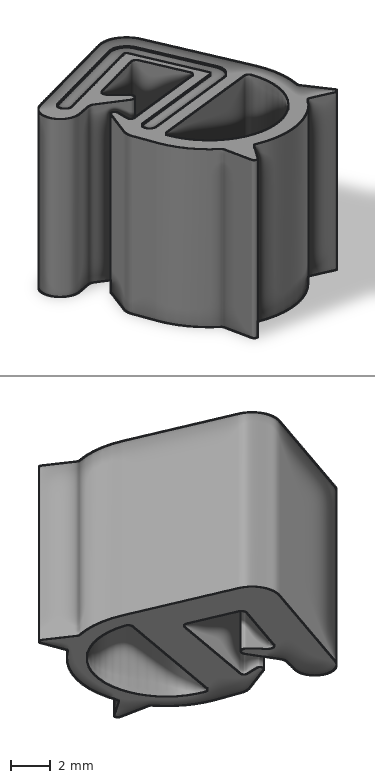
import cadquery as cq
import math


LENGTH = 10.0
HEIGHT = 10.0
WIDTH = 13.0
TAPER = 3.9

BULB_RADIUS = HEIGHT / 2
BULB_WALL = 1.0
BULB_X = WIDTH - BULB_RADIUS
BULB_Y = HEIGHT / 2
CAVITY_CORNER_RADIUS = 0.26

CLIP_AXIS_X = 4.0
SHOULDER_RADIUS = 1.5
LEG_END_RADIUS = 1.1
MOUTH_TOP_Y = 7.81
MOUTH_CORNER_RADIUS = 0.29
HEEL_RADIUS = 1.0

LEFT_LIP_TIP = (4.05, 3.9)
LEFT_LIP_TIP_RADIUS = 0.29
LEFT_LIP_UPPER_ANGLE = 28.2
LEFT_LIP_LOWER_ANGLE = 43.7
LEFT_LIP_UPPER_ROOT_RADIUS = 0.31
LEFT_LIP_LOWER_ROOT_RADIUS = 0.45
RIGHT_LIP_TIP = (4.26, 1.92)
RIGHT_LIP_TIP_RADIUS = 0.21
RIGHT_LIP_UPPER_ANGLE = 154.7
RIGHT_LIP_LOWER_ANGLE = 136.6
RIGHT_LIP_ROOT_RADIUS = 0.2

GROOVE_DEPTH = 0.08
GROOVE_WIDTH = 0.78
GROOVE_TOP_Y = 9.05
GROOVE_END_Y = 1.61
GROOVE_HALF_SPACING = 2.4
GROOVE_INNER_RADIUS = 0.17
LEG_TO_MOUTH = 1.08
LEG_TO_CAVITY = 1.16

BARB_TIP_RADIUS = 0.18
BARB_TIP = (WIDTH - BARB_TIP_RADIUS, 9.31)
BARB_UPPER_ANGLE = 12.7
BARB_LOWER_ANGLE = 55.0
BARB_UPPER_LENGTH = 2.86
BARB_LOWER_LENGTH = 2.47
BARB_ROOT_RADIUS = 0.2


def polar(start, angle, distance):
    """Point at a distance from start, along an angle in degrees."""
    a = math.radians(angle)
    return (start[0] + distance * math.cos(a), start[1] + distance * math.sin(a))


def crossing(p, p_angle, q, q_angle):
    """Crossing of two lines, each given by a point and an angle."""
    a, b = math.radians(p_angle), math.radians(q_angle)
    dx, dy = q[0] - p[0], q[1] - p[1]
    distance = (dx * math.sin(b) - dy * math.cos(b)) / math.sin(b - a)
    return polar(p, p_angle, distance)


def sharp_tip(centre, radius, angle_1, angle_2):
    """Corner of two flanks that a tip circle rounds off."""
    half_angle = math.radians(abs(angle_1 - angle_2) / 2)
    return polar(centre, (angle_1 + angle_2) / 2, radius / math.sin(half_angle))


def rounded_prism(corners, base_z, height):
    """Prism on a polygon of (point, corner radius) pairs."""
    tangents = []
    for i, (corner, radius) in enumerate(corners):
        before = cq.Vector(*corners[i - 1][0]) - cq.Vector(*corner)
        after = cq.Vector(*corners[(i + 1) % len(corners)][0]) - cq.Vector(*corner)
        half_angle = before.getAngle(after) / 2
        reach = radius / math.tan(half_angle)
        bisector = (before.normalized() + after.normalized()).normalized()
        middle = cq.Vector(*corner) + bisector * (radius / math.sin(half_angle) - radius)
        entry = cq.Vector(*corner) + before.normalized() * reach
        leave = cq.Vector(*corner) + after.normalized() * reach
        tangents.append((radius, entry, middle, leave))

    edges = []
    previous_leave = tangents[-1][3]
    for radius, entry, middle, leave in tangents:
        if (entry - previous_leave).Length > 1.3e-05:
            edges.append(cq.Edge.makeLine(previous_leave, entry))
        if radius > 0:
            edges.append(cq.Edge.makeThreePointArc(entry, middle, leave))
        previous_leave = leave
    wire = cq.Wire.assembleEdges(edges)
    solid = cq.Solid.extrudeLinear(wire, [], cq.Vector(0, 0, height))
    return cq.Workplane(obj=solid.translate(cq.Vector(0, 0, base_z)))


LEFT_ANGLE = 90 + TAPER
RIGHT_ANGLE = 90 - TAPER
LEFT_LEG = (CLIP_AXIS_X - GROOVE_HALF_SPACING, GROOVE_END_Y)
RIGHT_LEG = (CLIP_AXIS_X + GROOVE_HALF_SPACING, GROOVE_END_Y)


def clip():
    left_mouth = polar(LEFT_LEG, TAPER, LEG_TO_MOUTH)
    right_mouth = polar(RIGHT_LEG, 180 - TAPER, LEG_TO_MOUTH)

    wall = polar((SHOULDER_RADIUS, HEIGHT - SHOULDER_RADIUS), 180 + TAPER, SHOULDER_RADIUS)
    shoulder = crossing(wall, LEFT_ANGLE, (0, HEIGHT), 0)
    leg_corner = crossing(wall, LEFT_ANGLE, (0, 0), 0)
    leg_centre_x = leg_corner[0] + LEG_END_RADIUS / math.tan(math.radians(LEFT_ANGLE / 2))
    leg_side_x = leg_centre_x + LEG_END_RADIUS

    left_tip = sharp_tip(LEFT_LIP_TIP, LEFT_LIP_TIP_RADIUS, LEFT_LIP_UPPER_ANGLE, LEFT_LIP_LOWER_ANGLE)
    right_tip = sharp_tip(RIGHT_LIP_TIP, RIGHT_LIP_TIP_RADIUS, RIGHT_LIP_UPPER_ANGLE, RIGHT_LIP_LOWER_ANGLE)

    bulb_tangent = polar((BULB_X, BULB_Y), 270 - TAPER, BULB_RADIUS)
    heel = crossing(right_tip, RIGHT_LIP_LOWER_ANGLE, bulb_tangent, -TAPER)

    corners = [
        ((BULB_X, HEIGHT), 0),
        (shoulder, SHOULDER_RADIUS),
        (leg_corner, LEG_END_RADIUS),
        ((leg_side_x, 0), LEG_END_RADIUS),
        (crossing((leg_side_x, 0), 90, left_tip, LEFT_LIP_LOWER_ANGLE), LEFT_LIP_LOWER_ROOT_RADIUS),
        (left_tip, LEFT_LIP_TIP_RADIUS),
        (crossing(left_mouth, LEFT_ANGLE, left_tip, LEFT_LIP_UPPER_ANGLE), LEFT_LIP_UPPER_ROOT_RADIUS),
        (crossing(left_mouth, LEFT_ANGLE, (0, MOUTH_TOP_Y), 0), MOUTH_CORNER_RADIUS),
        (crossing(right_mouth, RIGHT_ANGLE, (0, MOUTH_TOP_Y), 0), MOUTH_CORNER_RADIUS),
        (crossing(right_mouth, RIGHT_ANGLE, right_tip, RIGHT_LIP_UPPER_ANGLE), RIGHT_LIP_ROOT_RADIUS),
        (right_tip, RIGHT_LIP_TIP_RADIUS),
        (heel, HEEL_RADIUS),
        (bulb_tangent, 0),
        ((BULB_X, BULB_Y), 0),
    ]
    return rounded_prism(corners, 0, LENGTH)


def bulb():
    """Round bulb, cut off on its left where the underside of the clip meets it."""
    disc = cq.Workplane().center(BULB_X, BULB_Y).circle(BULB_RADIUS).extrude(LENGTH)
    left_x = BULB_X - BULB_RADIUS * math.sin(math.radians(TAPER))
    keep_box = cq.Workplane().box(WIDTH - left_x, HEIGHT, LENGTH, centered=False)
    return disc.intersect(keep_box.translate((left_x, 0, 0)))


def barb():
    tip = sharp_tip(BARB_TIP, BARB_TIP_RADIUS, BARB_UPPER_ANGLE, BARB_LOWER_ANGLE)
    upper_end = polar(tip, 180 + BARB_UPPER_ANGLE, BARB_UPPER_LENGTH)
    lower_end = polar(tip, 180 + BARB_LOWER_ANGLE, BARB_LOWER_LENGTH)
    return rounded_prism([(tip, BARB_TIP_RADIUS), (upper_end, 0), (lower_end, 0)], 0, LENGTH)


def bulb_with_barbs():
    upper_barb = barb()
    lower_barb = upper_barb.mirror("XZ", (0, BULB_Y, 0))
    body = bulb().union(upper_barb).union(lower_barb)

    def is_root(edge):
        centre = edge.Center()
        radius = math.hypot(centre.x - BULB_X, centre.y - BULB_Y)
        on_surface = abs(radius - BULB_RADIUS) < 0.001
        off_seam = abs(centre.y - BULB_Y) > BULB_RADIUS / 4
        return on_surface and off_seam and centre.x > BULB_X

    roots = [edge for edge in body.edges("|Z").vals() if is_root(edge)]
    return body.newObject(roots).fillet(BARB_ROOT_RADIUS)


def cavity():
    radius = BULB_RADIUS - BULB_WALL
    wall = polar(RIGHT_LEG, -TAPER, LEG_TO_CAVITY)
    bottom = crossing(wall, RIGHT_ANGLE, (0, 0), 0)
    top = crossing(wall, RIGHT_ANGLE, (0, HEIGHT), 0)
    keep_side = cq.Workplane().polyline([bottom, (WIDTH, 0), (WIDTH, HEIGHT), top]).close().extrude(LENGTH)
    round_hole = cq.Workplane().center(BULB_X, BULB_Y).circle(radius).extrude(LENGTH)
    return round_hole.intersect(keep_side).edges("|Z and (<Y or >Y)").fillet(CAVITY_CORNER_RADIUS)


def groove():
    half_width = GROOVE_WIDTH / 2
    end_radius = half_width
    outer_radius = GROOVE_INNER_RADIUS + GROOVE_WIDTH
    inner_top_y = GROOVE_TOP_Y - GROOVE_WIDTH

    def leg_corners(leg, side):
        """Outer top, both end corners and inner top of a leg; side is -1 left, 1 right."""
        wall_angle = 90 - side * TAPER
        outward = wall_angle - side * 90
        end = polar(leg, wall_angle + 180, end_radius)
        outer_end = polar(end, outward, half_width)
        inner_end = polar(end, outward + 180, half_width)
        return [
            (crossing(outer_end, wall_angle, (0, GROOVE_TOP_Y), 0), outer_radius),
            (outer_end, end_radius),
            (inner_end, end_radius),
            (crossing(inner_end, wall_angle, (0, inner_top_y), 0), GROOVE_INNER_RADIUS),
        ]

    corners = leg_corners(LEFT_LEG, -1) + leg_corners(RIGHT_LEG, 1)[::-1]
    return rounded_prism(corners, LENGTH - GROOVE_DEPTH, GROOVE_DEPTH)


result = clip().union(bulb_with_barbs()).cut(cavity()).cut(groove())